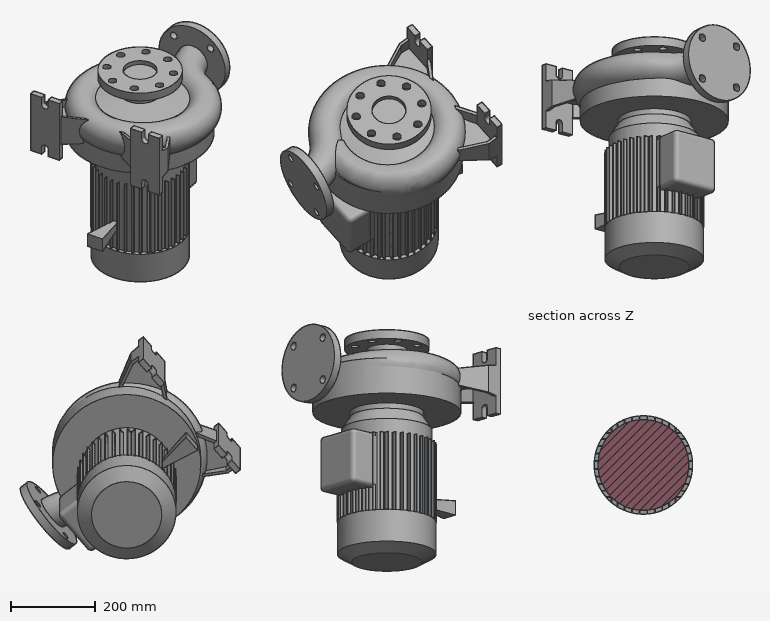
import cadquery as cq
import math

SUCTION_TOP = 100.0
CASING_BOTTOM = -76.5
LANTERN_NECK_BOTTOM = -89.5
LANTERN_CONE_BOTTOM = -120.0
FIN_TOP = -154.0
FIN_BOTTOM = -345.5
COWL_RIM = -423.5
COWL_BOTTOM = -443.0

LANTERN_NECK_R = 87.5
MOTOR_CORE_R = 107.5
MOTOR_R = 117.0
COWL_BOTTOM_R = 83.0
CASING_R = 175.5
CASING_EDGE_Z = 10.0
CASING_NECK_Z = 36.5

FIN_COUNT = 40
FIN_THICKNESS = 2.0

SUCTION_NECK_R = 48.0
SUCTION_FLANGE_R = 100.0
SUCTION_FLANGE_T = 21.5
SUCTION_BORE_R = 40.0
SUCTION_BORE_DEPTH = 11.0
SUCTION_BOLT_CIRCLE_R = 80.0
SUCTION_BOLTS = 8
SUCTION_BOLT_HOLE_R = 10.0
OUTLET_FLANGE_R = 93.0
OUTLET_FLANGE_T = 20.5
OUTLET_FACE_Y = 250.5
OUTLET_BOLT_CIRCLE_R = 73.0
OUTLET_BOLTS = 4
OUTLET_BOLT_HOLE_R = 9.0

VOLUTE_X = 8.0
VOLUTE_R = 145.0
TUBE_R = 40.5
TAIL_START_ANGLE = 180
TAIL_END_ANGLE = 75
TAIL_END_TUBE_R = 32.5
TAIL_END_R = 133.0
TAIL_SECTIONS = 5

FOOT_FACE_Y = -200.0
FOOT_T = 14.5
FOOT_INNER_X = 100.0
FOOT_OUTER_X = 180.5
FOOT_HALF_HEIGHT = 80.5
FOOT_SLOT_R = 9.0
FOOT_SLOT_DEPTH = 29.0

BRACKET_WALL_T = 7.5
BRACKET_WEB_T = 7.5
BRACKET_ROOT_HALF_HEIGHT = 37.5
BRACKET_END_Y = -92.5
BRACKET_END_HALF_HEIGHT = 20.0
OUTER_WALL_BEND_Y = -162.0
OUTER_WALL_TIP = (144.0, -92.5)
INNER_WALL_ROOT_Y = -193.5
INNER_WALL_TIP = (43.5, -162.5)

BOX_HALF_WIDTH = 61.0
BOX_FACE_Y = 161.0
BOX_BOTTOM = -288.0
BOX_FILLET = 11.0

SUPPORT_Z = -278.0
SUPPORT_WIDTH = 42.5
SUPPORT_HEIGHT = 35.5
SUPPORT_ROOT_Y = -103.0
SUPPORT_ROOT_WIDTH = 11.0
SUPPORT_ROOT_HEIGHT = 18.0


def make_body():
    """Turned casing, lantern, motor core and fan cowl."""
    profile = [
        (0, SUCTION_TOP - SUCTION_FLANGE_T),
        (SUCTION_NECK_R, SUCTION_TOP - SUCTION_FLANGE_T),
        (SUCTION_NECK_R, CASING_NECK_Z),
        (CASING_R, CASING_EDGE_Z),
        (CASING_R, CASING_BOTTOM),
        (LANTERN_NECK_R, CASING_BOTTOM),
        (LANTERN_NECK_R, LANTERN_NECK_BOTTOM),
        (MOTOR_CORE_R, LANTERN_CONE_BOTTOM),
        (MOTOR_CORE_R, FIN_BOTTOM),
        (MOTOR_R, FIN_BOTTOM),
        (MOTOR_R, COWL_RIM),
        (COWL_BOTTOM_R, COWL_BOTTOM),
        (0, COWL_BOTTOM),
    ]
    return cq.Workplane("XZ").polyline(profile).close().revolve(360, (0, 0, 0), (0, 1, 0))


def make_fins():
    """Four groups of parallel fins, one group facing each side of the motor."""
    fins = cq.Workplane("XY")
    fins_per_side = FIN_COUNT // 4
    pitch = 360 / FIN_COUNT
    for index in range(fins_per_side):
        angle = math.radians((index - (fins_per_side - 1) / 2) * pitch)
        offset = MOTOR_R * math.sin(angle)
        reach = MOTOR_R * math.cos(angle)
        fin = (
            cq.Workplane("XY", origin=(0, 0, FIN_BOTTOM))
            .center(reach / 2, offset)
            .rect(reach, FIN_THICKNESS)
            .extrude(FIN_TOP - FIN_BOTTOM)
        )
        for side in range(4):
            fins = fins.add(fin.rotate((0, 0, 0), (0, 0, 1), 90 * side))
    return fins.combine()


def make_flange(plane, radius, thickness, bolt_circle_r, bolts, hole_r):
    """Flange extruded along the plane's normal, with its bolt holes straddling the axes."""
    return (
        cq.Workplane(plane)
        .circle(radius)
        .polarArray(bolt_circle_r, 180 / bolts, 360, bolts)
        .circle(hole_r)
        .extrude(thickness)
    )


def volute_plane(angle, center_r=VOLUTE_R):
    """Plane across the volute tube at an angle (degrees) around the volute centre."""
    turn = math.radians(angle)
    radial = (math.cos(turn), math.sin(turn), 0)
    center = (VOLUTE_X + center_r * radial[0], center_r * radial[1], 0)
    return cq.Plane(origin=center, xDir=radial, normal=(-radial[1], radial[0], 0))


def make_volute():
    """Round tube of constant size and outlet bend that leaves along +Y at X = 0."""
    bend_r = (OUTLET_FACE_Y**2 + VOLUTE_X**2 - VOLUTE_R**2) / (2 * (VOLUTE_R + VOLUTE_X))
    join_angle = math.degrees(math.atan2(OUTLET_FACE_Y, bend_r - VOLUTE_X))
    main_turn = (
        cq.Workplane(volute_plane(TAIL_START_ANGLE))
        .circle(TUBE_R)
        .revolve(180 + join_angle, (-VOLUTE_R, 5.5, 0), (-VOLUTE_R, 0, 0))
    )
    bend = (
        cq.Workplane(volute_plane(join_angle))
        .circle(TUBE_R)
        .revolve(join_angle, (bend_r, 0, 0), (bend_r, 1, 0))
    )
    return main_turn.union(bend)


def make_volute_tail():
    """Start of the volute, a tube that narrows ever faster as it runs under the outlet bend."""
    wires = []
    for index in range(TAIL_SECTIONS):
        part = index / (TAIL_SECTIONS - 1)
        angle = TAIL_START_ANGLE + part * (TAIL_END_ANGLE - TAIL_START_ANGLE)
        radius = TUBE_R + part**2 * (TAIL_END_TUBE_R - TUBE_R)
        center_r = VOLUTE_R + part**2 * (TAIL_END_R - VOLUTE_R)
        wires.append(cq.Workplane(volute_plane(angle, center_r)).circle(radius).wires().val())
    return cq.Workplane(cq.Solid.makeLoft(wires))


def make_foot():
    """Right-hand foot plate, slotted from its top and bottom edges."""
    back_y = FOOT_FACE_Y + FOOT_T
    width = FOOT_OUTER_X - FOOT_INNER_X
    middle_x = (FOOT_OUTER_X + FOOT_INNER_X) / 2
    return (
        cq.Workplane("XZ", origin=(middle_x, back_y, 0))
        .rect(width, 2 * FOOT_HALF_HEIGHT)
        .extrude(FOOT_T)
        .faces("<Y")
        .workplane(origin=(middle_x, FOOT_FACE_Y, 0))
        .pushPoints([(0, FOOT_HALF_HEIGHT), (0, -FOOT_HALF_HEIGHT)])
        .slot2D(2 * FOOT_SLOT_DEPTH, 2 * FOOT_SLOT_R, 90)
        .cutThruAll()
    )


def make_bracket():
    """Right-hand bracket between foot plate and volute, lower in height towards the pump."""
    back_y = FOOT_FACE_Y + FOOT_T
    outer_wall = [
        (FOOT_OUTER_X, back_y),
        (FOOT_OUTER_X, OUTER_WALL_BEND_Y),
        OUTER_WALL_TIP,
        (OUTER_WALL_TIP[0] - BRACKET_WALL_T, OUTER_WALL_TIP[1]),
        (FOOT_OUTER_X - BRACKET_WALL_T, OUTER_WALL_BEND_Y),
        (FOOT_OUTER_X - BRACKET_WALL_T, back_y),
    ]
    run = FOOT_INNER_X - INNER_WALL_TIP[0]
    rise = INNER_WALL_TIP[1] - INNER_WALL_ROOT_Y
    inner_wall_step = BRACKET_WALL_T * math.hypot(run, rise) / run
    inner_wall = [
        (FOOT_INNER_X, INNER_WALL_ROOT_Y),
        INNER_WALL_TIP,
        (INNER_WALL_TIP[0], INNER_WALL_TIP[1] + inner_wall_step),
        (FOOT_INNER_X, INNER_WALL_ROOT_Y + inner_wall_step),
    ]
    web = [
        (FOOT_OUTER_X, back_y),
        (FOOT_OUTER_X, OUTER_WALL_BEND_Y),
        OUTER_WALL_TIP,
        INNER_WALL_TIP,
        (FOOT_INNER_X, INNER_WALL_ROOT_Y),
        (FOOT_INNER_X, back_y),
    ]

    def plate(outline, height):
        return cq.Workplane("XY").polyline(outline).close().extrude(height / 2, both=True)

    taper = (BRACKET_ROOT_HALF_HEIGHT - BRACKET_END_HALF_HEIGHT) / (BRACKET_END_Y - back_y)
    front_half_height = BRACKET_ROOT_HALF_HEIGHT + taper * FOOT_T
    side_profile = [
        (FOOT_FACE_Y, front_half_height),
        (BRACKET_END_Y, BRACKET_END_HALF_HEIGHT),
        (BRACKET_END_Y, -BRACKET_END_HALF_HEIGHT),
        (FOOT_FACE_Y, -front_half_height),
    ]
    envelope = cq.Workplane("YZ").polyline(side_profile).close().extrude(FOOT_OUTER_X)
    walls = plate(outer_wall, 2 * FOOT_HALF_HEIGHT).union(plate(inner_wall, 2 * FOOT_HALF_HEIGHT))
    return walls.intersect(envelope).union(plate(web, BRACKET_WEB_T))


def make_terminal_box():
    """Box on the +Y side of the motor, starting at the motor axis."""
    return (
        cq.Workplane("XY", origin=(0, BOX_FACE_Y / 2, BOX_BOTTOM))
        .rect(2 * BOX_HALF_WIDTH, BOX_FACE_Y)
        .extrude(FIN_TOP - BOX_BOTTOM)
        .edges("|Y or >Y")
        .fillet(BOX_FILLET)
    )


def make_support():
    """Tapered block from inside the motor core to the plane of the foot faces."""
    return (
        cq.Workplane("XZ", origin=(0, SUPPORT_ROOT_Y, SUPPORT_Z))
        .rect(SUPPORT_ROOT_WIDTH, SUPPORT_ROOT_HEIGHT)
        .workplane(offset=SUPPORT_ROOT_Y - FOOT_FACE_Y)
        .rect(SUPPORT_WIDTH, SUPPORT_HEIGHT)
        .loft()
    )


suction_plane = cq.Plane(origin=(0, 0, SUCTION_TOP), xDir=(1, 0, 0), normal=(0, 0, 1))
outlet_plane = cq.Plane(origin=(0, OUTLET_FACE_Y, 0), xDir=(1, 0, 0), normal=(0, 1, 0))
suction_flange = make_flange(
    suction_plane, SUCTION_FLANGE_R, -SUCTION_FLANGE_T,
    SUCTION_BOLT_CIRCLE_R, SUCTION_BOLTS, SUCTION_BOLT_HOLE_R,
)
outlet_flange = make_flange(
    outlet_plane, OUTLET_FLANGE_R, -OUTLET_FLANGE_T,
    OUTLET_BOLT_CIRCLE_R, OUTLET_BOLTS, OUTLET_BOLT_HOLE_R,
)
suction_bore = cq.Workplane(suction_plane).circle(SUCTION_BORE_R).extrude(-SUCTION_BORE_DEPTH)
right_foot = make_foot().union(make_bracket())

result = (
    make_body()
    .union(make_fins())
    .union(make_terminal_box())
    .union(make_support())
    .union(right_foot)
    .union(right_foot.mirror("YZ"))
    .union(make_volute())
    .union(make_volute_tail())
    .union(suction_flange)
    .union(outlet_flange)
    .cut(suction_bore)
)